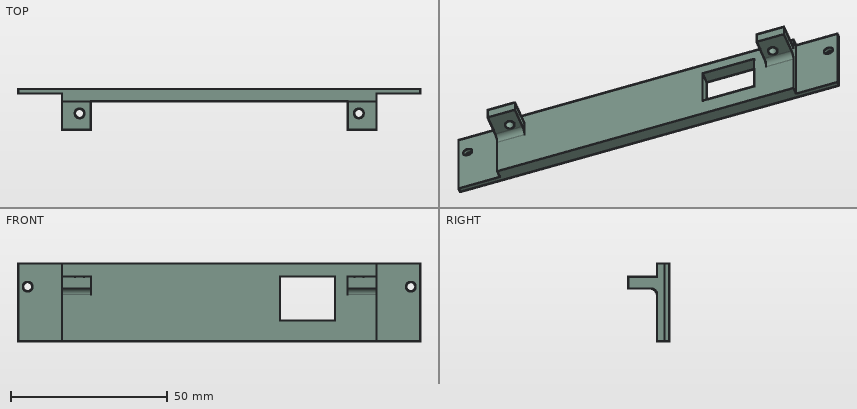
import cadquery as cq

length = 128.6
height = 25.0
panel_thickness = 4.0
flange_thickness = 1.5
flange_length = 14.0

hole_diameter = 3.0
flange_hole_inset = 3.1
flange_hole_drop = 7.5

window_left = 83.7
window_width = 17.5
window_height = 14.0
top_margin = 4.2

overall_depth = 13.1
tab_width = 9.3
tab_thickness = 3.9
tab_fillet = 1.9
tab_hole_inset = 5.7
tab_hole_setback = 5.3

panel_front = -panel_thickness
tab_end = -overall_depth
tab_top = height - top_margin
tab_bottom = tab_top - tab_thickness


def make_box(x, y, z, width, depth, rise):
    """Box from its lowest corner and its sizes along X, Y and Z."""
    return cq.Workplane("XY").box(width, depth, rise, centered=False).translate((x, y, z))


def make_panel():
    flanges = make_box(0, -flange_thickness, 0, length, flange_thickness, height)
    middle_length = length - 2 * flange_length
    middle = make_box(flange_length, panel_front, 0, middle_length, panel_thickness, height)
    return flanges.union(middle)


def make_tab(left, hole_x):
    """Drilled tab with a concave fillet where its underside meets the panel."""
    root = -flange_thickness
    body = (
        cq.Workplane("YZ", origin=(left, 0, 0))
        .moveTo(root, tab_top)
        .lineTo(tab_end, tab_top)
        .lineTo(tab_end, tab_bottom)
        .lineTo(panel_front - tab_fillet, tab_bottom)
        .radiusArc((panel_front, tab_bottom - tab_fillet), tab_fillet)
        .lineTo(root, tab_bottom - tab_fillet)
        .close()
        .extrude(tab_width)
    )
    hole = (
        cq.Workplane("XY", origin=(hole_x, tab_end + tab_hole_setback, tab_bottom))
        .circle(hole_diameter / 2)
        .extrude(tab_thickness)
    )
    return body.cut(hole)


def make_flange_hole(x):
    return (
        cq.Workplane("XZ", origin=(x, 0, height - flange_hole_drop))
        .circle(hole_diameter / 2)
        .extrude(flange_thickness)
    )


result = make_panel()

left_tab_x = flange_length
right_tab_x = length - flange_length - tab_width
result = result.union(make_tab(left_tab_x, left_tab_x + tab_hole_inset))
result = result.union(make_tab(right_tab_x, right_tab_x + tab_width - tab_hole_inset))

for hole_x in (flange_hole_inset, length - flange_hole_inset):
    result = result.cut(make_flange_hole(hole_x))

window_bottom = height - top_margin - window_height
result = result.cut(
    make_box(window_left, panel_front, window_bottom, window_width, panel_thickness, window_height)
)